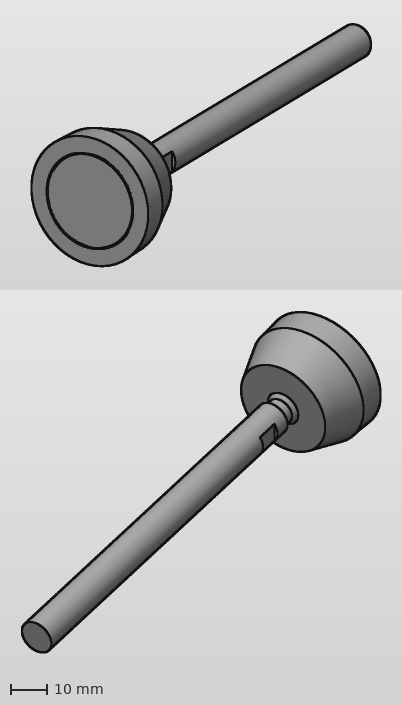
import cadquery as cq

total_length = 140.0
sole_y = -total_length / 2
tip_y = total_length / 2

sole_diameter = 38.0
rim_diameter = 37.4
crown_diameter = 28.3
rim_height = 8.0
foot_height = 20.0
groove_outer_diameter = 28.0
groove_inner_diameter = 27.5
groove_depth = 0.7

rod_diameter = 10.0
neck_diameter = 7.8
shoulder_height = 25.0
ball_diameter = 12.0
ball_exposure = 2.8
flat_spacing = 7.8
flat_start_height = 30.0
flat_length = 7.0

ball_radius = ball_diameter / 2
ball_center_y = sole_y + foot_height + ball_exposure - ball_radius


def cylinder(diameter, start_y, end_y):
    """Cylinder on the Y axis between two positions."""
    section = cq.Workplane("XZ", origin=(0, start_y, 0)).circle(diameter / 2)
    return section.extrude(start_y - end_y)


def make_ball():
    """Ball joint sphere, shared by the stud end and its socket."""
    return cq.Workplane("XY").sphere(ball_radius).translate((0, ball_center_y, 0))


def make_foot():
    """Tapered foot with a ball socket and a thin ring groove in the sole."""
    crown_y = sole_y + foot_height
    profile = [
        (0, sole_y),
        (sole_diameter / 2, sole_y),
        (rim_diameter / 2, sole_y + rim_height),
        (crown_diameter / 2, crown_y),
        (0, crown_y),
    ]
    foot = cq.Workplane("XY").polyline(profile).close().revolve(360, (0, 0, 0), (0, 1, 0))

    groove_end_y = sole_y + groove_depth
    groove = cylinder(groove_outer_diameter, sole_y, groove_end_y)
    groove = groove.cut(cylinder(groove_inner_diameter, sole_y, groove_end_y))
    return foot.cut(make_ball()).cut(groove)


def make_stud():
    """Rod with two wrench flats, a narrower neck and a ball end."""
    shoulder_y = sole_y + shoulder_height
    rod = cylinder(rod_diameter, shoulder_y, tip_y)

    flat_depth = (rod_diameter - flat_spacing) / 2
    flat_center_y = sole_y + flat_start_height + flat_length / 2
    for side in (-1, 1):
        cutter = cq.Workplane("XY").box(flat_depth, flat_length, rod_diameter)
        cutter_x = side * (flat_spacing + flat_depth) / 2
        rod = rod.cut(cutter.translate((cutter_x, flat_center_y, 0)))

    neck = cylinder(neck_diameter, ball_center_y, shoulder_y)
    return rod.union(neck).union(make_ball())


foot = make_foot()
stud = make_stud()
result = cq.Compound.makeCompound([foot.val(), stud.val()])